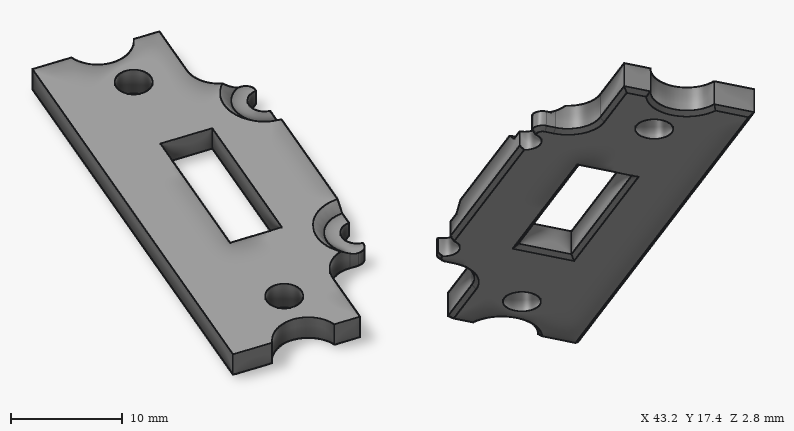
import cadquery as cq

plate_length = 43.2
plate_depth = 17.4
thickness = 2.8
bottom_chamfer = 0.4

SIDES = (-1, 1)

shoulder_y = 12.5
tab_half_width = 12.6
shoulder_radius = 3.1
tab_corner_radius = 0.95

end_notch_radius = 3.25
end_notch_depth = 2.15
end_notch_y = 6.9

hole_diameter = 3.4
hole_x = 16.2
hole_y = 7.5

window_length = 15.0
window_width = 5.1
window_y = 8.7

seat_x = 10.0
seat_y = 17.5
seat_hole_radius = 1.5
seat_floor_radius = 2.95
seat_rim_radius = 3.95
seat_depth = 0.9


def cylinder(x, y, radius):
    """Upright cylinder through the full thickness."""
    return cq.Workplane("XY").center(x, y).circle(radius).extrude(thickness)


def round_corner(blank, x, y, radius):
    """Round the upright edge nearest to (x, y)."""
    nearest = cq.selectors.NearestToPointSelector((x, y, thickness / 2))
    return blank.edges("|Z").edges(nearest).fillet(radius)


def plate_blank():
    """Plate with a narrower rear tab, blended shoulders and rounded tab corners."""
    half_length = plate_length / 2
    blank = (
        cq.Workplane("XY")
        .moveTo(-half_length, 0)
        .lineTo(half_length, 0)
        .lineTo(half_length, shoulder_y)
        .lineTo(tab_half_width, shoulder_y)
        .lineTo(tab_half_width, plate_depth)
        .lineTo(-tab_half_width, plate_depth)
        .lineTo(-tab_half_width, shoulder_y)
        .lineTo(-half_length, shoulder_y)
        .close()
        .extrude(thickness)
    )
    for side in SIDES:
        blank = round_corner(blank, side * tab_half_width, shoulder_y, shoulder_radius)
        blank = round_corner(blank, side * tab_half_width, plate_depth, tab_corner_radius)
    return blank


def cut_end_notches(body):
    """Round bites out of the two plate ends."""
    notch_x = plate_length / 2 + end_notch_radius - end_notch_depth
    for side in SIDES:
        body = body.cut(cylinder(side * notch_x, end_notch_y, end_notch_radius))
    return body


def cut_window(body):
    """Rectangular through opening on the centreline."""
    window = cq.Workplane("XY").center(0, window_y).rect(window_length, window_width).extrude(thickness)
    return body.cut(window)


def cut_screw_holes(body):
    """Plain through holes near the plate ends."""
    for side in SIDES:
        body = body.cut(cylinder(side * hole_x, hole_y, hole_diameter / 2))
    return body


def screw_seat(x):
    """Conical recess sunk from the top face."""
    return (
        cq.Workplane("XY", origin=(x, seat_y, thickness - seat_depth))
        .circle(seat_floor_radius)
        .workplane(offset=seat_depth)
        .circle(seat_rim_radius)
        .loft()
    )


def cut_screw_seats(body):
    """Conical seats with through holes, left open by the rear edge."""
    for side in SIDES:
        body = body.cut(cylinder(side * seat_x, seat_y, seat_hole_radius))
        body = body.cut(screw_seat(side * seat_x))
    return body


body = plate_blank()
body = cut_end_notches(body)
body = cut_window(body)
body = body.faces("<Z").edges().chamfer(bottom_chamfer)
body = cut_screw_holes(body)
result = cut_screw_seats(body)